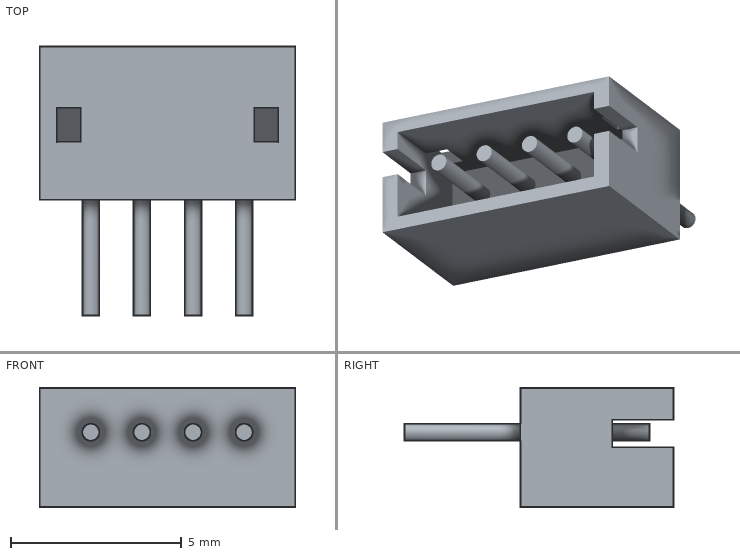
import cadquery as cq

body_width = 7.5
body_depth = 4.5
body_height = 3.5

side_wall = 0.5
roof_thickness = 0.4
floor_thickness = roof_thickness
back_wall = 1.0

slot_depth = 1.8
slot_height = 0.8
slot_top_drop = 0.94

window_width = 0.7
window_length = 1.0

pin_count = 4
pin_pitch = 1.5
pin_diameter = 0.5
pin_axis_drop = 1.3
pin_tail_length = 3.4
pin_tip_recess = 0.7

mouth_y = body_depth
cavity_width = body_width - 2 * side_wall
cavity_depth = body_depth - back_wall
cavity_height = body_height - roof_thickness - floor_thickness


def box_at(width, depth, height, x_center, y_max, z_min):
    """Box centred on x_center, ending at y_max and standing on z_min."""
    return (
        cq.Workplane("XY")
        .box(width, depth, height, centered=(True, False, False))
        .translate((x_center, y_max - depth, z_min))
    )


def make_housing():
    """Open-mouthed box with its side slots and latch windows."""
    housing = box_at(body_width, body_depth, body_height, 0, mouth_y, 0)
    cavity = box_at(cavity_width, cavity_depth, cavity_height, 0, mouth_y, floor_thickness)
    slot_z_min = body_height - slot_top_drop - slot_height
    slots = box_at(body_width, slot_depth, slot_height, 0, mouth_y, slot_z_min)
    housing = housing.cut(cavity).cut(slots)

    window_x = (cavity_width - window_width) / 2
    window_z_min = body_height - roof_thickness
    for side in (-1, 1):
        window = box_at(
            window_width,
            window_length,
            roof_thickness,
            side * window_x,
            mouth_y - slot_depth,
            window_z_min,
        )
        housing = housing.cut(window)
    return housing


def make_pin(x):
    """Round pin from its tail end, through the back wall, to its tip inside the cavity."""
    pin_length = pin_tail_length + body_depth - pin_tip_recess
    pin_z = body_height - pin_axis_drop
    return (
        cq.Workplane("XZ")
        .circle(pin_diameter / 2)
        .extrude(-pin_length)
        .translate((x, -pin_tail_length, pin_z))
    )


result = make_housing()
first_pin_x = -pin_pitch * (pin_count - 1) / 2
for index in range(pin_count):
    result = result.union(make_pin(first_pin_x + index * pin_pitch))